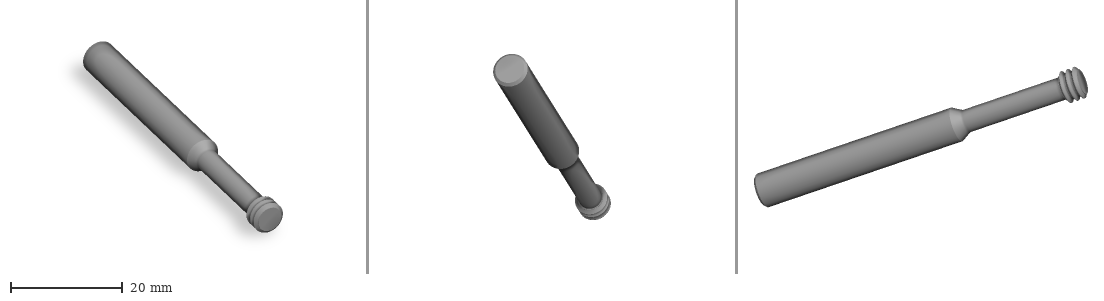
import cadquery as cq
import math

total_length = 63.45
shank_radius = 3.2
shank_end = 38.7
end_chamfer = 0.5

neck_radius = 2.1
shoulder_angle = math.radians(30)
shoulder_fillet = 0.75

head_length = 3.75
core_radius = 2.35
crest_radius = 3.0
crest_width = 0.1
tooth_width = 1.0
tooth_count = 3
tooth_pitch = 1.3
first_crest_offset = 0.6

head_start = total_length - head_length

fillet_drop = shoulder_fillet * (1 - math.cos(shoulder_angle))
fillet_length = shoulder_fillet * math.sin(shoulder_angle)
cone_end_radius = neck_radius + fillet_drop
cone_end = shank_end + (shank_radius - cone_end_radius) / math.tan(shoulder_angle)
neck_start = cone_end + fillet_length
half_angle = shoulder_angle / 2
fillet_middle = (
    neck_start - shoulder_fillet * math.sin(half_angle),
    neck_radius + shoulder_fillet * (1 - math.cos(half_angle)),
)


def add_tooth(profile, crest_position):
    """Continue the half profile over one trapezoidal tooth."""
    return (
        profile.lineTo(crest_position - tooth_width / 2, core_radius)
        .lineTo(crest_position - crest_width / 2, crest_radius)
        .lineTo(crest_position + crest_width / 2, crest_radius)
        .lineTo(crest_position + tooth_width / 2, core_radius)
    )


profile = (
    cq.Workplane("XY")
    .moveTo(0, 0)
    .lineTo(0, shank_radius - end_chamfer)
    .lineTo(end_chamfer, shank_radius)
    .lineTo(shank_end, shank_radius)
    .lineTo(cone_end, cone_end_radius)
    .threePointArc(fillet_middle, (neck_start, neck_radius))
    .lineTo(head_start, neck_radius)
    .lineTo(head_start, core_radius)
)

for tooth in range(tooth_count):
    profile = add_tooth(profile, head_start + first_crest_offset + tooth * tooth_pitch)

profile = profile.lineTo(total_length, core_radius).lineTo(total_length, 0).close()

result = profile.revolve(360, (0, 0, 0), (1, 0, 0))